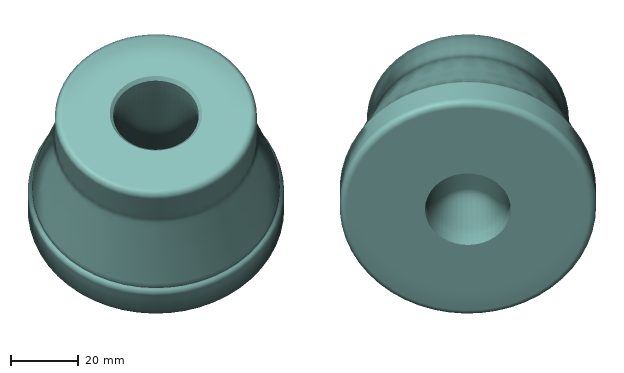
import cadquery as cq
import math

outer_radius = 38.1
total_height = 50.0
edge_radius = 2.0

foot_height = 10.0

neck_radius = 30.0
cone_top_z = 37.0
cone_bottom_radius = 36.8
cone_bottom_z = 13.5
blend_radius = 4.95
rim_straight_height = 0.5

bore_radius = 12.7
bore_chamfer = 1.0
wall_thickness = 4.0
hub_radius = neck_radius - wall_thickness
hub_top_z = total_height - wall_thickness


def cylinder(radius, bottom_z, top_z):
    return cq.Workplane("XY").workplane(offset=bottom_z).circle(radius).extrude(top_z - bottom_z)


def make_base():
    """Round foot with a central hub that fills the cover, bored right through."""
    foot = cylinder(outer_radius, 0, foot_height).faces("<Z").edges().fillet(edge_radius)
    hub = cylinder(hub_radius, 0, hub_top_z)
    return foot.union(hub).cut(cylinder(bore_radius, 0, total_height))


def make_cover_outside():
    """Revolved neck and cone, with tangent arcs at both ends of the cone."""
    cone_run = cone_bottom_radius - neck_radius
    cone_rise = cone_top_z - cone_bottom_z
    cone_angle = math.atan2(cone_run, cone_rise)
    tangent_length = blend_radius * math.tan(cone_angle / 2)
    tangent_run = tangent_length * math.sin(cone_angle)
    tangent_rise = tangent_length * math.cos(cone_angle)
    neck_end = (neck_radius, cone_top_z + tangent_length)
    skirt_end = (cone_bottom_radius, cone_bottom_z - tangent_length)
    cone_top = (neck_radius + tangent_run, cone_top_z - tangent_rise)
    cone_bottom = (cone_bottom_radius - tangent_run, cone_bottom_z + tangent_rise)
    return (
        cq.Workplane("XZ")
        .moveTo(0, foot_height)
        .lineTo(cone_bottom_radius, foot_height)
        .lineTo(*skirt_end)
        .tangentArcPoint(cone_bottom, relative=False)
        .lineTo(*cone_top)
        .tangentArcPoint(neck_end, relative=False)
        .lineTo(neck_radius, total_height)
        .lineTo(0, total_height)
        .close()
        .revolve(360, (0, 0), (0, 1))
        .faces(">Z")
        .edges()
        .fillet(edge_radius)
    )


def make_cover():
    """Conical cover with a rounded rim, a recess for the hub and a chamfered opening."""
    rim_top_z = foot_height + rim_straight_height + edge_radius
    rim = cylinder(outer_radius, foot_height, rim_top_z).faces(">Z").edges().fillet(edge_radius)
    recess = cylinder(hub_radius, foot_height, hub_top_z)
    opening = cylinder(bore_radius, foot_height, total_height)
    body = make_cover_outside().union(rim).cut(recess).cut(opening)
    return body.faces(">Z").edges("%CIRCLE").edges(cq.selectors.RadiusNthSelector(0)).chamfer(bore_chamfer)


base = make_base()
cover = make_cover()

result = cq.Compound.makeCompound([base.val(), cover.val()])